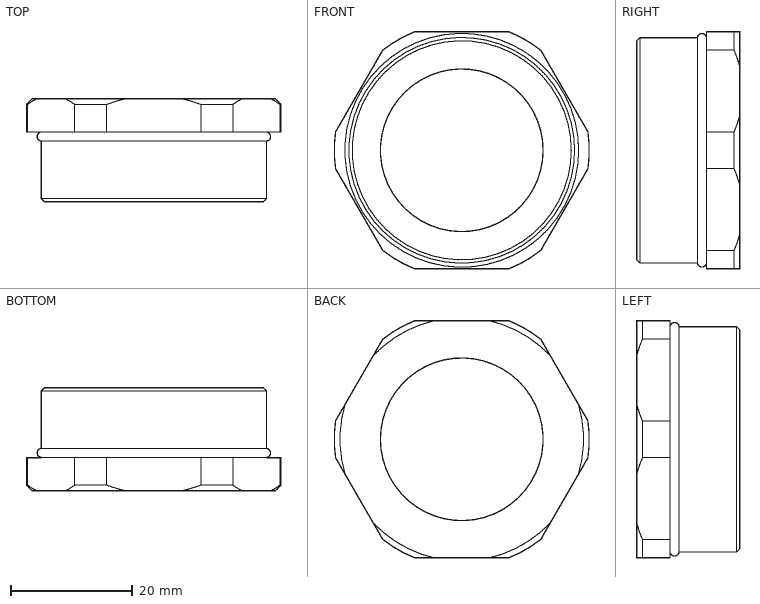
import cadquery as cq
import math

corner_diameter = 42.0
across_flats = 39.0
total_length = 17.0
head_length = 5.5
head_chamfer = 0.95

ring_diameter = 38.45
ring_width = 1.5

spigot_diameter = 37.13
spigot_chamfer = 0.55
bore_diameter = 26.72


def disc(diameter, start, length):
    """Solid cylinder growing from Y = start toward -Y."""
    plane = cq.Workplane("XZ", origin=(0, start, 0))
    return plane.circle(diameter / 2).extrude(length)


def make_head():
    """Hexagon with corners on the X axis, trimmed by a chamfered cylinder."""
    across_corners = across_flats / math.cos(math.pi / 6)
    hexagon = cq.Workplane("XZ").polygon(6, across_corners).extrude(head_length)
    trim = disc(corner_diameter, 0, head_length).faces(">Y").chamfer(head_chamfer)
    return hexagon.intersect(trim)


def make_ring():
    """Disc with a fully rounded rim, seated against the head."""
    rim_radius = ring_width / 2
    rim_center = ring_diameter / 2 - rim_radius
    ring_start = -head_length
    ring_end = ring_start - ring_width
    profile = (
        cq.Workplane("XY")
        .moveTo(0, ring_start)
        .lineTo(rim_center, ring_start)
        .threePointArc((ring_diameter / 2, ring_start - rim_radius), (rim_center, ring_end))
        .lineTo(0, ring_end)
        .close()
    )
    return profile.revolve(360, (0, 0, 0), (0, 1, 0))


def make_spigot():
    """Plain cylinder with a chamfered free end."""
    spigot = disc(spigot_diameter, -head_length, total_length - head_length)
    return spigot.faces("<Y").chamfer(spigot_chamfer)


body = make_head().union(make_ring()).union(make_spigot())
result = body.cut(disc(bore_diameter, 0, total_length))